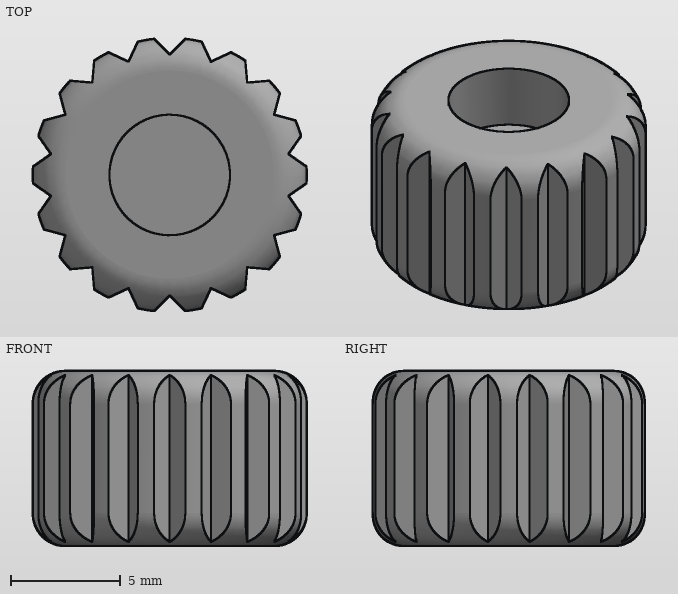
import cadquery as cq
import math

outer_diameter = 12.5
height = 8.0
rim_fillet = 1.5
bore_diameter = 5.5
bore_depth = 3.0
groove_count = 18
groove_root_radius = 5.5
groove_angle = 90.0

outer_radius = outer_diameter / 2
groove_pitch = 360.0 / groove_count
cutter_depth = 2 * (outer_radius - groove_root_radius)
cutter_half_width = cutter_depth * math.tan(math.radians(groove_angle / 2))


def make_body():
    """Cylinder standing on Z = 0 with both rims rounded."""
    body = cq.Workplane("XY").circle(outer_radius).extrude(height)
    return body.faces("|Z").edges().fillet(rim_fillet)


def make_bore():
    """Blind round bore entering from the top face."""
    bore_floor = cq.Workplane("XY").workplane(offset=height - bore_depth)
    return bore_floor.circle(bore_diameter / 2).extrude(bore_depth)


def make_groove():
    """Full-height V-shaped cutter with its root on the +Y axis."""
    cutter_top = groove_root_radius + cutter_depth
    outline = [
        (0, groove_root_radius),
        (cutter_half_width, cutter_top),
        (-cutter_half_width, cutter_top),
    ]
    return cq.Workplane("XY").polyline(outline).close().extrude(height)


result = make_body().cut(make_bore())

groove = make_groove()
for index in range(groove_count):
    result = result.cut(groove.rotate((0, 0, 0), (0, 0, 1), index * groove_pitch))